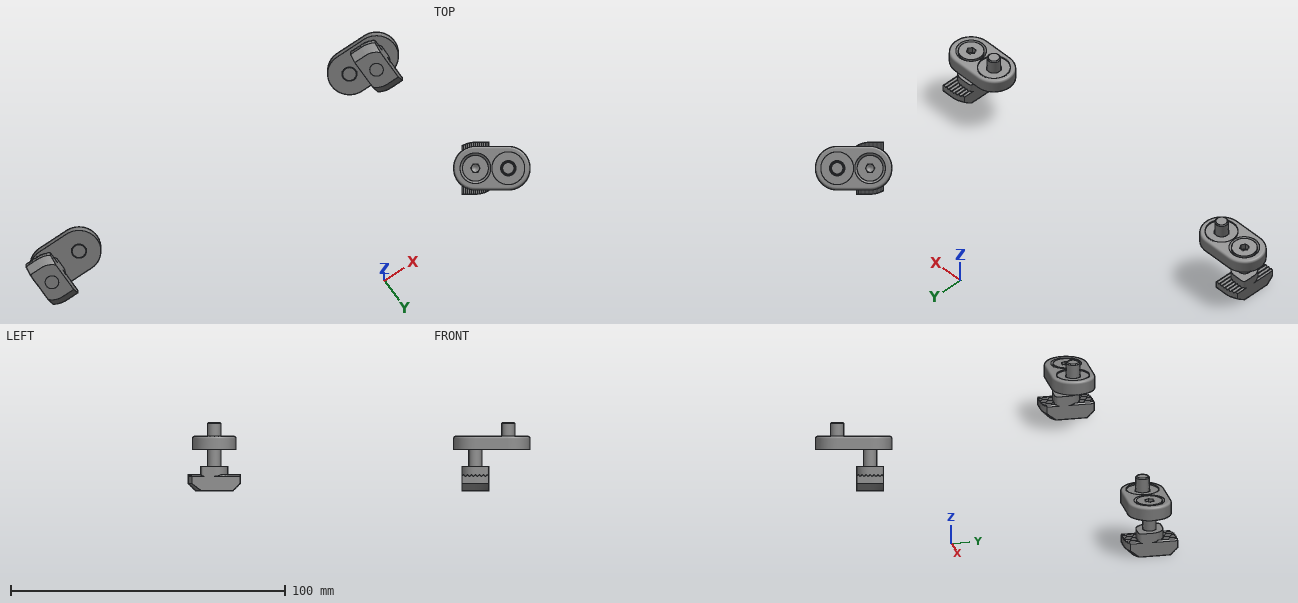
import cadquery as cq
import math

overall_length = 160.0
top_height = 25.0

plate_width = 16.0
plate_thickness = 5.0
plate_bottom = 15.0
plate_edge_fillet = 1.0
screw_to_pin = 12.0
plate_end_radius = plate_width / 2
plate_top = plate_bottom + plate_thickness
screw_x = -overall_length / 2 + plate_end_radius
pin_x = screw_x + screw_to_pin

pin_diameter = 5.0
pin_clearance_diameter = 5.5
pin_recess_diameter = 12.0
pin_recess_depth = 0.5
pin_tip_diameter = 4.2
pin_tip_chamfer = (pin_diameter - pin_tip_diameter) / 2

screw_diameter = 5.0
screw_head_diameter = 9.5
screw_clearance_diameter = 5.5
countersink_diameter = 11.2
socket_width = 3.0
socket_depth = 2.4
socket_cone_height = 0.8
head_top = plate_top
head_rim_height = (countersink_diameter - screw_head_diameter) / 2

nut_length = 19.0
nut_width = 10.0
nut_height = 9.0
flange_height = 6.0
flange_chamfer = 2.7
boss_corner_fillet = 1.3
boss_bottom = flange_chamfer
tooth_pitch = 1.5
tooth_depth = 0.6


def cylinder(x, diameter, bottom, top):
    """Upright cylinder centred at (x, 0)."""
    return cq.Workplane("XY").workplane(offset=bottom).center(x, 0).circle(diameter / 2).extrude(top - bottom)


def cone(x, bottom_diameter, top_diameter, bottom, top):
    """Upright truncated cone centred at (x, 0); a zero bottom diameter gives a point."""
    solid = cq.Solid.makeCone(bottom_diameter / 2, top_diameter / 2, top - bottom, cq.Vector(x, 0, bottom))
    return cq.Workplane(obj=solid)


def make_plate():
    """Round-ended plate with a countersunk screw hole and a recessed pin hole."""
    plate = (
        cq.Workplane("XY")
        .workplane(offset=plate_bottom)
        .center((screw_x + pin_x) / 2, 0)
        .slot2D(screw_to_pin + plate_width, plate_width)
        .extrude(plate_thickness)
        .faces(">Z")
        .edges()
        .fillet(plate_edge_fillet)
    )
    sink_depth = (countersink_diameter - screw_clearance_diameter) / 2
    countersink = cone(
        screw_x, screw_clearance_diameter, countersink_diameter, plate_top - sink_depth, plate_top
    )
    clearance = cylinder(screw_x, screw_clearance_diameter, plate_bottom, plate_top)
    pin_recess = cylinder(pin_x, pin_recess_diameter, plate_top - pin_recess_depth, plate_top)
    pin_clearance = cylinder(pin_x, pin_clearance_diameter, plate_bottom, plate_top)
    return plate.cut(countersink).cut(clearance).cut(pin_recess).cut(pin_clearance)


def make_pin():
    """Straight pin, flush with the underside of the plate and chamfered at its tip."""
    return cylinder(pin_x, pin_diameter, plate_bottom, top_height).faces(">Z").chamfer(pin_tip_chamfer)


def make_screw():
    """Countersunk screw with a hexagon socket, flush with the underside of the nut."""
    rim_bottom = head_top - head_rim_height
    cone_bottom = rim_bottom - (screw_head_diameter - screw_diameter) / 2
    head_rim = cylinder(screw_x, screw_head_diameter, rim_bottom, head_top)
    head_cone = cone(screw_x, screw_diameter, screw_head_diameter, cone_bottom, rim_bottom)
    shank = cylinder(screw_x, screw_diameter, 0, cone_bottom)
    socket_bottom = head_top - socket_depth
    socket_corner_diameter = socket_width / math.cos(math.radians(30))
    socket = (
        cq.Workplane("XY")
        .workplane(offset=socket_bottom)
        .center(screw_x, 0)
        .polygon(6, socket_corner_diameter)
        .extrude(socket_depth)
    )
    socket_tip = cone(screw_x, 0, socket_width, socket_bottom - socket_cone_height, socket_bottom)
    return head_rim.union(head_cone).union(shank).cut(socket).cut(socket_tip)


def make_flange():
    """Bar with two opposite corners rounded about the screw axis, so that it can turn in its slot."""
    half_width = nut_width / 2
    half_length = nut_length / 2
    arc_end = math.sqrt(half_length**2 - half_width**2)
    arc_angle = math.asin(half_width / half_length) / 2
    arc_middle_x = half_length * math.sin(arc_angle)
    arc_middle_y = half_length * math.cos(arc_angle)
    return (
        cq.Workplane("XY")
        .center(screw_x, 0)
        .moveTo(-half_width, -half_length)
        .lineTo(0, -half_length)
        .threePointArc((arc_middle_x, -arc_middle_y), (half_width, -arc_end))
        .lineTo(half_width, half_length)
        .lineTo(0, half_length)
        .threePointArc((-arc_middle_x, arc_middle_y), (-half_width, arc_end))
        .close()
        .extrude(flange_height)
        .faces("<Z")
        .edges("not(<X or >X)")
        .chamfer(flange_chamfer)
    )


def make_boss():
    """Round boss with two opposite quarters filled out to square corners."""
    boss = cylinder(screw_x, nut_width, boss_bottom, nut_height)
    quarter = nut_width / 2
    for side, outer_edge in ((1, "|Z and >X and <Y"), (-1, "|Z and <X and >Y")):
        corner = (
            cq.Workplane("XY")
            .workplane(offset=boss_bottom)
            .center(screw_x + side * quarter / 2, -side * quarter / 2)
            .rect(quarter, quarter)
            .extrude(nut_height - boss_bottom)
            .edges(outer_edge)
            .fillet(boss_corner_fillet)
        )
        boss = boss.union(corner)
    return boss


def make_tooth_grooves():
    """V grooves along Y across the top of the flange, with a tooth crest on the screw axis."""
    count = 2 * math.ceil(nut_width / 2 / tooth_pitch)
    first_x = screw_x - (count - 1) / 2 * tooth_pitch
    grooves = cq.Workplane("XZ", origin=(0, nut_length / 2, 0))
    for i in range(count):
        x = first_x + i * tooth_pitch
        grooves = grooves.polyline(
            [
                (x - tooth_pitch / 2, flange_height),
                (x, flange_height - tooth_depth),
                (x + tooth_pitch / 2, flange_height),
            ]
        ).close()
    return grooves.extrude(nut_length)


def make_nut():
    """Toothed flange and boss, bored through for the screw."""
    nut = make_flange().cut(make_tooth_grooves()).union(make_boss())
    return nut.cut(cylinder(screw_x, screw_diameter, 0, nut_height))


bodies = []
for turn in (0, 180):
    for make_body in (make_plate, make_pin, make_screw, make_nut):
        body = make_body().rotate((0, 0, 0), (0, 0, 1), turn)
        bodies.append(body.solids().val())

result = cq.Compound.makeCompound(bodies)